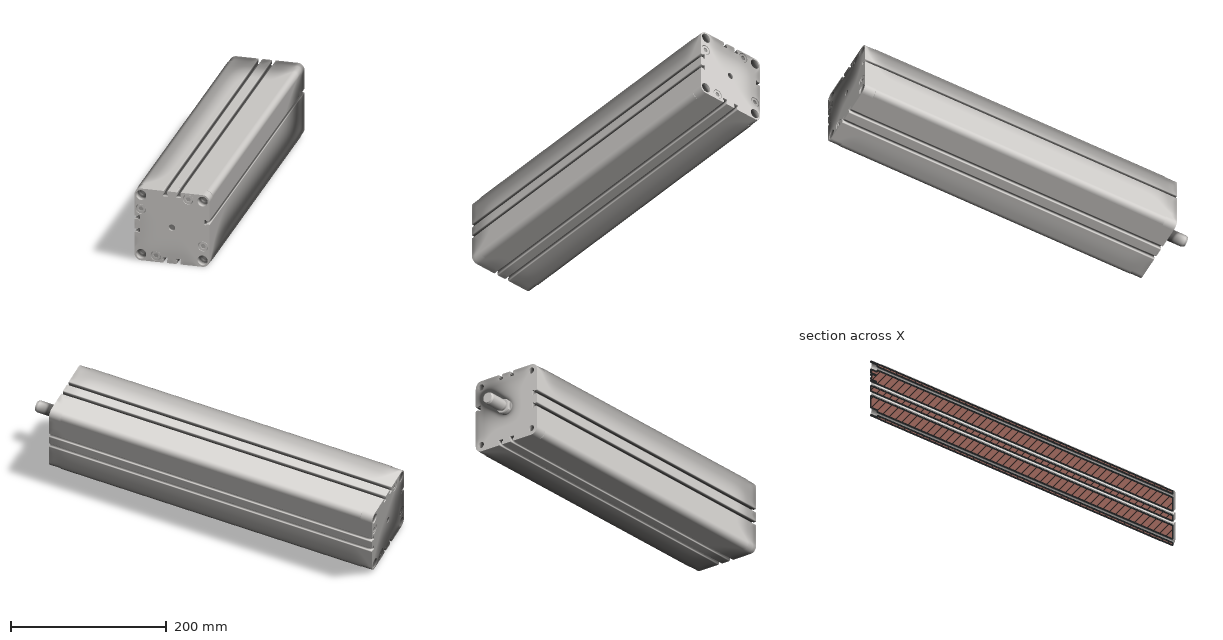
import cadquery as cq
import math

side = 100.0
total_length = 496.0
rod_projection = 39.5
housing_length = total_length - rod_projection
half_side = side / 2

rear_cap_length = 16.0
front_cap_length = 16.5
barrel_length = housing_length - rear_cap_length - front_cap_length
barrel_corner_radius = 7.5
front_cap_start = rear_cap_length + barrel_length
cap_corner_radius = 9.0

slot_throat = 4.5
slot_inner_width = 7.0
slot_lip = 4.5
cap_slot_radius = 1.2
barrel_slot_radius = 0.9
slot_depth = 7.4
slot_offset = 9.0
single_slot_offset = 12.0
slot_places = [
    (0, -slot_offset),
    (0, slot_offset),
    (180, -slot_offset),
    (180, slot_offset),
    (-90, -slot_offset),
    (-90, slot_offset),
    (90, -single_slot_offset),
]

corner_offset = 41.0
corner_places = [(x, z) for x in (-corner_offset, corner_offset) for z in (-corner_offset, corner_offset)]
corner_hole_diameter = 8.38
corner_bore_diameter = 13.5
corner_bore_depth = 10.0

screw_offset_long = 41.5
screw_offset_short = 21.5
screw_bore_diameter = 13.5
screw_head_diameter = 12.5
screw_bore_depth = 9.0
screw_head_recess = 0.5
socket_across_flats = 6.0
socket_depth = 1.5

port_diameter = 8.57
port_depth = 4.0

rod_diameter = 20.0
rod_flats = 16.0
thread_diameter = 16.0
thread_chamfer = 1.3
thread_chamfer_length = 3.0
thread_end = 29.0
neck_diameter = 13.5
neck_end = 31.5
shoulder_chamfer = 0.6
shoulder_chamfer_length = 1.5
flats_end = 37.7


def cylinder(diameter, start, end, x=0, z=0):
    """Round bar along Y between two positions."""
    plane = cq.Workplane("XZ", origin=(x, start, z))
    return plane.circle(diameter / 2).extrude(start - end)


def t_slot(start, length, mouth_radius, angle, offset):
    """T-slot cutter with a rounded mouth, made at the top and turned to its side."""
    throat = slot_throat / 2
    inner = slot_inner_width / 2
    lip_z = half_side - slot_lip
    floor_z = half_side - slot_depth
    curve_z = half_side - mouth_radius
    edge = throat + mouth_radius
    plane = cq.Workplane("XZ", origin=(0, start, 0)).center(offset, 0)
    outline = plane.moveTo(edge, half_side).radiusArc((throat, curve_z), -mouth_radius)
    outline = outline.lineTo(throat, lip_z).lineTo(inner, lip_z).lineTo(inner, floor_z)
    outline = outline.lineTo(-inner, floor_z).lineTo(-inner, lip_z).lineTo(-throat, lip_z)
    outline = outline.lineTo(-throat, curve_z).radiusArc((-edge, half_side), -mouth_radius)
    return outline.close().extrude(-length).rotate((0, 0, 0), (0, 1, 0), angle)


def make_section(start, length, corner_radius, slot_radius):
    """Length of square housing with its slots and corner holes."""
    plane = cq.Workplane("XZ", origin=(0, start, 0))
    section = plane.rect(side, side).extrude(-length).edges("|Y").fillet(corner_radius)
    for angle, offset in slot_places:
        section = section.cut(t_slot(start, length, slot_radius, angle, offset))
    for x, z in corner_places:
        section = section.cut(cylinder(corner_hole_diameter, start, start + length, x, z))
    return section


def add_cap_screws(body):
    """Socket-head screws in their bores, one near each side."""
    places = [
        (-screw_offset_long, screw_offset_short),
        (screw_offset_short, screw_offset_long),
        (screw_offset_long, -screw_offset_short),
        (-screw_offset_short, -screw_offset_long),
    ]
    socket_diameter = socket_across_flats / math.cos(math.pi / 6)
    for x, z in places:
        body = body.cut(cylinder(screw_bore_diameter, 0, screw_bore_depth, x, z))
        head = cylinder(screw_head_diameter, screw_head_recess, screw_bore_depth, x, z)
        plane = cq.Workplane("XZ", origin=(x, screw_head_recess, z))
        socket = plane.polygon(6, socket_diameter).extrude(-socket_depth)
        body = body.union(head.cut(socket))
    return body


def make_rod():
    """Stepped rod with a threaded end, a neck and two wrench flats."""
    tip = total_length
    tip_radius = thread_diameter / 2 - thread_chamfer
    neck_radius = neck_diameter / 2
    profile = [
        (0, front_cap_start),
        (rod_diameter / 2, front_cap_start),
        (rod_diameter / 2, tip - neck_end - shoulder_chamfer_length),
        (rod_diameter / 2 - shoulder_chamfer, tip - neck_end),
        (neck_radius, tip - neck_end),
        (neck_radius, tip - thread_end),
        (thread_diameter / 2, tip - thread_end + thread_diameter / 2 - neck_radius),
        (thread_diameter / 2, tip - thread_chamfer_length),
        (tip_radius, tip),
        (0, tip),
    ]
    rod = cq.Workplane("XY").polyline(profile).close().revolve(360, (0, 0, 0), (0, 1, 0))
    for sign in (-1, 1):
        flat = cq.Workplane("XY").box(rod_diameter, flats_end, rod_diameter, centered=(True, False, True))
        rod = rod.cut(flat.translate((sign * (rod_flats + rod_diameter) / 2, tip - flats_end, 0)))
    return rod


def make_rear_cap():
    """Rear cap with corner counterbores, screws and the air port."""
    cap = make_section(0, rear_cap_length, cap_corner_radius, cap_slot_radius)
    for x, z in corner_places:
        cap = cap.cut(cylinder(corner_bore_diameter, 0, corner_bore_depth, x, z))
    cap = add_cap_screws(cap)
    return cap.cut(cylinder(port_diameter, 0, port_depth))


barrel = make_section(rear_cap_length, barrel_length, barrel_corner_radius, barrel_slot_radius)
front_cap = make_section(front_cap_start, front_cap_length, cap_corner_radius, cap_slot_radius)
front_cap = front_cap.union(make_rod())

result = make_rear_cap().union(barrel, clean=False).union(front_cap, clean=False)